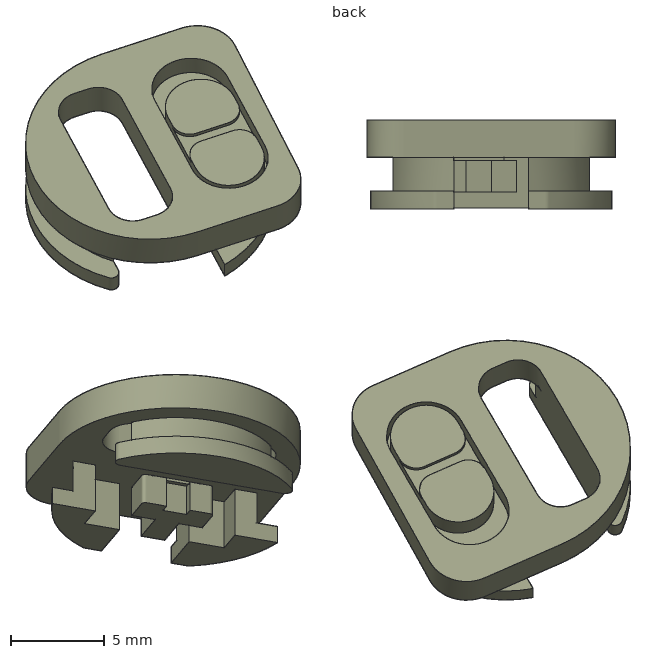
import cadquery as cq
import math

plate_thickness = 2.0
overall_height = 4.76
recess_depth = 1.2
recess_floor_z = plate_thickness - recess_depth

plate_radius = 6.65
corner_center_y = 4.63
left_corner_radius = 2.18
right_corner_radius = 2.0

slot_length = 9.42
slot_back_y = -0.2
slot_front_y = -3.78
slot_corner_radius = 1.39

recess_length = 9.37
recess_width = 4.21
recess_center_y = 3.49

stem_radius = 5.5
flange_tip_fillet = 0.4
hook_flange_top = -1.7
hook_bottom = -2.7
lug_flange_top = -1.79
lug_bottom = plate_thickness - overall_height
lug_front_y = 1.63
lug_back_y = 5.94
lug_inner_x = 4.0
lug_back_gap = 3.98
cavity_back_y = 3.23

slider_clearance = 0.2
cap_width = recess_width - 2 * slider_clearance
cap_length = 7.62
cap_center_x = recess_length / 2 - slider_clearance - cap_length / 2
groove_center_x = 0.65
groove_width = 0.59
groove_depth = 0.2
groove_corner_radius = 1.0
neck_length = 2.69
neck_front_y = 1.68
neck_back_y = 3.03
head_top = -0.16
head_bottom = -1.86
head_length = 4.04
head_front_y = 1.4
head_back_y = 3.1
head_corner_radius = 0.2
head_notch_width = head_length / 3
head_notch_depth = 0.54
tail_back_y = 5.2


def block(x_min, x_max, y_min, y_max, z_min, z_max):
    """Axis-aligned box between the given limits."""
    size = (x_max - x_min, y_max - y_min, z_max - z_min)
    return cq.Workplane("XY").box(*size, centered=False).translate((x_min, y_min, z_min))


def disc(radius, z_min, z_max):
    """Round disc about the Z axis."""
    return cq.Workplane("XY").workplane(offset=z_min).circle(radius).extrude(z_max - z_min)


def stadium(length, width, center, z_min, z_max):
    """Round-ended prism lying along X."""
    outline = cq.Workplane("XY").workplane(offset=z_min).center(*center).slot2D(length, width)
    return outline.extrude(z_max - z_min)


def plate_blank():
    """Plate whose back edge is the common tangent of its two corner arcs."""
    left_center_x = left_corner_radius - plate_radius
    right_center_x = plate_radius - right_corner_radius
    radius_step = left_corner_radius - right_corner_radius
    edge_normal = math.acos(radius_step / (right_center_x - left_center_x))

    def corner_point(center_x, radius, angle):
        return (center_x + radius * math.cos(angle), corner_center_y + radius * math.sin(angle))

    left_middle = (edge_normal + math.pi) / 2
    right_middle = edge_normal / 2
    return (
        cq.Workplane("XY")
        .moveTo(-plate_radius, 0)
        .threePointArc((0, -plate_radius), (plate_radius, 0))
        .lineTo(plate_radius, corner_center_y)
        .threePointArc(
            corner_point(right_center_x, right_corner_radius, right_middle),
            corner_point(right_center_x, right_corner_radius, edge_normal),
        )
        .lineTo(*corner_point(left_center_x, left_corner_radius, edge_normal))
        .threePointArc(
            corner_point(left_center_x, left_corner_radius, left_middle),
            (-plate_radius, corner_center_y),
        )
        .close()
        .extrude(plate_thickness)
    )


def strap_slot():
    half = slot_length / 2
    cutter = block(-half, half, slot_front_y, slot_back_y, 0, plate_thickness)
    return cutter.edges("|Z").fillet(slot_corner_radius)


def front_hook():
    """Stem and flange, both cut off straight along the front edge of the strap slot."""
    front_half = block(
        -plate_radius, plate_radius, -plate_radius, slot_front_y, hook_bottom, 0
    )
    stem = disc(stem_radius, hook_bottom, 0).intersect(front_half)
    flange = disc(plate_radius, hook_bottom, hook_flange_top).intersect(front_half)
    flange = flange.edges("|Z").fillet(flange_tip_fillet)
    return stem.union(flange)


def right_lug():
    """Stem and flange behind the slot, hollowed on the inside to clear the slider."""
    gap_half = lug_back_gap / 2
    side = block(gap_half, plate_radius, lug_front_y, lug_back_y, lug_bottom, 0)
    cavity = block(0, lug_inner_x, lug_front_y, cavity_back_y, lug_bottom, 0)
    stem = disc(stem_radius, lug_bottom, 0).intersect(side)
    flange = disc(plate_radius, lug_bottom, lug_flange_top).intersect(side)
    tip_x = math.sqrt(plate_radius**2 - lug_back_y**2)
    tip_z = (lug_bottom + lug_flange_top) / 2
    tip = cq.selectors.NearestToPointSelector((tip_x, lug_back_y, tip_z))
    flange = flange.edges("|Z").edges(tip).fillet(flange_tip_fillet)
    return stem.union(flange).cut(cavity)


def slider_neck():
    """Rectangular neck that passes through the recess floor."""
    half = neck_length / 2
    return block(
        cap_center_x - half, cap_center_x + half, neck_front_y, neck_back_y, head_top, recess_floor_z
    )


def make_housing():
    recess = stadium(
        recess_length, recess_width, (0, recess_center_y), recess_floor_z, plate_thickness
    )
    lug = right_lug()
    body = plate_blank().cut(strap_slot()).cut(recess)
    body = body.union(front_hook()).union(lug).union(lug.mirror("YZ"))
    return body.cut(slider_neck())


def slider_cap():
    """Round-ended cap whose top is split into two thumb pads by a flared cross groove."""
    center = (cap_center_x, recess_center_y)
    pad_floor_z = plate_thickness - groove_depth
    base = stadium(cap_length, cap_width, center, recess_floor_z, pad_floor_z)
    pads = stadium(cap_length, cap_width, center, pad_floor_z, plate_thickness)
    y_min = recess_center_y - cap_width / 2
    y_max = recess_center_y + cap_width / 2
    for direction in (-1, 1):
        inner_x = groove_center_x + direction * groove_width / 2
        outer_x = cap_center_x + direction * cap_length / 2
        x_min, x_max = sorted((inner_x, outer_x))
        pad = block(x_min, x_max, y_min, y_max, pad_floor_z, plate_thickness)
        inner_edges = "|Z and <X" if direction > 0 else "|Z and >X"
        pad = pad.edges(inner_edges).fillet(groove_corner_radius)
        base = base.union(pad.intersect(pads))
    return base


def slider_head():
    """Head under the plate: two front feet beside a notch, and a narrow tail behind."""
    half = head_length / 2
    notch_half = head_notch_width / 2
    x_min = cap_center_x - half
    x_max = cap_center_x + half
    notch_min = cap_center_x - notch_half
    notch_max = cap_center_x + notch_half
    notch_back_y = head_front_y + head_notch_depth
    feet = block(x_min, x_max, head_front_y, head_back_y, head_bottom, head_top)
    feet = feet.edges("|Z and <Y").fillet(head_corner_radius)
    notch = block(notch_min, notch_max, head_front_y, notch_back_y, head_bottom, head_top)
    tail = block(notch_min, notch_max, head_back_y, tail_back_y, head_bottom, head_top)
    return feet.cut(notch).union(tail)


def make_slider():
    return slider_cap().union(slider_neck()).union(slider_head())


housing = make_housing()
slider = make_slider()
result = cq.Compound.makeCompound([housing.val(), slider.val()])